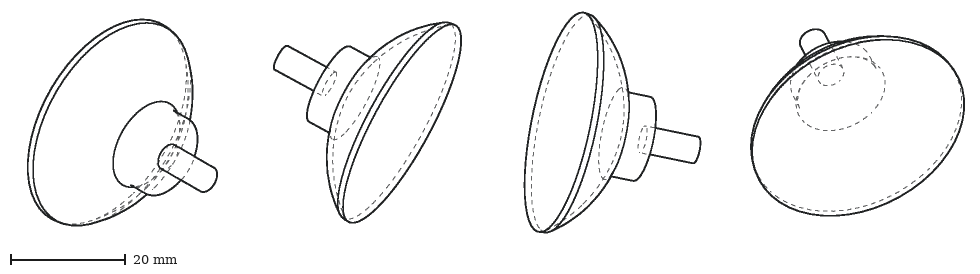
import cadquery as cq

rim_radius = 19.55
rim_width = 1.17
rim_back_radius = 19.4
rim_bulge = 0.05

floor_radius = 4.0
floor_depth = 9.97
cavity_bulge = 1.72

bowl_end_x = 9.75
bowl_end_radius = 8.2
bowl_bulge = 1.17

collar_radius = 7.5
collar_start_x = 11.15
collar_end_x = 15.0
neck_bulge = -0.15

stud_radius = 2.4
stud_end_x = 25.0
edge_break = 0.2


def bulge_point(start, end, bulge):
    """Middle point of an arc that bows away from the axis by `bulge`."""
    along_x = end[0] - start[0]
    along_radius = end[1] - start[1]
    chord = (along_x**2 + along_radius**2) ** 0.5
    mid_x = (start[0] + end[0]) / 2
    mid_radius = (start[1] + end[1]) / 2
    return (
        mid_x - bulge * along_radius / chord,
        mid_radius + bulge * along_x / chord,
    )


def make_cup():
    """Hollow bowl with its neck and collar, revolved from a half section."""
    rim_front = (0, rim_radius)
    rim_back = (rim_width, rim_back_radius)
    bowl_end = (bowl_end_x, bowl_end_radius)
    collar_start = (collar_start_x, collar_radius)
    floor_edge = (floor_depth, floor_radius)
    section = (
        cq.Workplane("XY")
        .moveTo(*rim_front)
        .threePointArc(bulge_point(rim_front, rim_back, rim_bulge), rim_back)
        .threePointArc(bulge_point(rim_back, bowl_end, bowl_bulge), bowl_end)
        .threePointArc(bulge_point(bowl_end, collar_start, neck_bulge), collar_start)
        .lineTo(collar_end_x, collar_radius)
        .lineTo(collar_end_x, 0)
        .lineTo(floor_depth, 0)
        .lineTo(*floor_edge)
        .threePointArc(bulge_point(rim_front, floor_edge, cavity_bulge), rim_front)
        .close()
    )
    cup = section.revolve(360, (0, 0, 0), (1, 0, 0))
    return cup.faces(">X").edges().fillet(edge_break)


def make_stud():
    """Round stud standing on the end face of the collar."""
    stud = (
        cq.Workplane("YZ", origin=(collar_end_x, 0, 0))
        .circle(stud_radius)
        .extrude(stud_end_x - collar_end_x)
    )
    return stud.faces(">X").edges().fillet(edge_break)


cup = make_cup()
stud = make_stud()

result = cq.Compound.makeCompound([cup.val(), stud.val()])